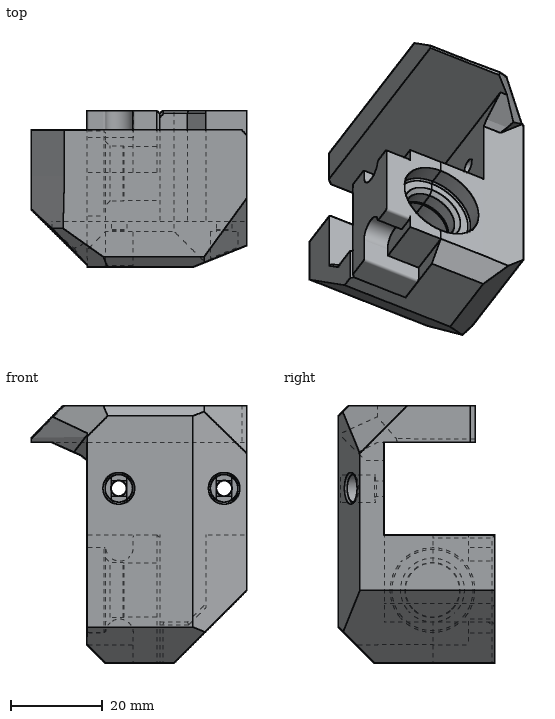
import cadquery as cq
import math

width = 35.0
depth = 34.2
height = 56.25

plate_depth = 10.0
shelf_back = 30.0
shelf_bottom = 48.2
shelf_corner_chamfer = 1.1

block_top = 28.0
split_y = 20.7
clamp_width = 16.0
edge_break = 0.6
flank_lean = 0.1

wing_root_x = 0.55
wing_tip_x = -12.1
wing_tip_top = 49.0
wing_top_x = -4.85
wing_twist_y = 20.0
wing_lean = 0.5
gusset_outer_x = -7.6
gusset_knee = (-1.3, 45.4)
gusset_foot_z = 44.4

wing_upper_root = (0, 0.7, 50.5)
wing_lower_root = (0, 0.5, 49.75)
wing_ridge = (-7.3, 8.25, 53.85)
wing_tip = (wing_tip_x, 12.6, 49.2)
wing_knee = (-2.7, 4.05, 46.2)

top_chamfer = 2.25
bottom_chamfer = 7.9
left_bottom_chamfer = 4.1
left_corner_z = 49.5
side_bevel_x = 23.25
side_bevel_depth = 4.7
right_bottom_chamfer = 15.9
right_corner_x = 25.65
right_corner_y = 15.1
right_corner_z = 45.85

cavity_right = 26.05
cavity_floor = 9.05
cavity_slope = 4.05
wall_edge_radius = 0.4

bore_y = 20.55
bore_z = 16.05
bore_recess_diameter = 18.5
bore_recess_depth = 4.1
bore_recess_taper = 0.4
bore_diameter = 12.05
bore_chamfer = 0.95
throat_diameter = 11.8
throat_start = 7.9
throat_taper = 0.3

screw_x = (7.05, 30.05)
screw_z = 38.2
screw_diameter = 3.4
screw_head_diameter = 6.0
screw_head_depth = 7.9
screw_rim_chamfer = 0.45
bridge_step = 0.2

clamp_bottom = 4.05
notch_y = 28.35
notch_x = 7.15
notch_diameter = 6.0
notch_wall_x = 10.05
lip_drop = 2.65

margin = 0.55


def box(x0, x1, y0, y1, z0, z1):
    return cq.Workplane("XY").box(x1 - x0, y1 - y0, z1 - z0, centered=False).translate((x0, y0, z0))


def trim(body, point, outward):
    """Remove everything beyond the plane through point with the given outward normal."""
    reach = 4 * height
    plane = cq.Plane(origin=point, normal=outward)
    return body.cut(cq.Workplane(plane).rect(reach, reach).extrude(reach))


def trim_through(body, a, b, c):
    """Remove everything beyond the plane a, b, c, seen counter-clockwise from outside."""
    a, b, c = cq.Vector(*a), cq.Vector(*b), cq.Vector(*c)
    return trim(body, a.toTuple(), (b - a).cross(c - a).toTuple())


def bore_cutter():
    recess = bore_recess_diameter / 2
    radius = bore_diameter / 2
    profile = [
        (0, 0),
        (0, recess),
        (bore_recess_depth - bore_recess_taper, recess),
        (bore_recess_depth, recess - bore_recess_taper),
        (bore_recess_depth, radius + bore_chamfer),
        (bore_recess_depth + bore_chamfer, radius),
        (throat_start, radius),
        (throat_start + throat_taper, throat_diameter / 2),
        (clamp_width, throat_diameter / 2),
        (clamp_width, 0),
    ]
    cutter = cq.Workplane("XY").polyline(profile).close().revolve(360, (0, 0, 0), (1, 0, 0))
    return cutter.translate((0, bore_y, bore_z))


def wing_section(y, lean):
    """Wing outline at y, with its sloping flank moved outward by lean."""
    points = [
        (wing_root_x, shelf_bottom),
        (wing_tip_x, shelf_bottom),
        (wing_tip_x, wing_tip_top + lean),
        (wing_top_x - lean, height),
        (wing_root_x, height),
    ]
    return cq.Workplane("XZ", origin=(0, y, 0)).polyline(points).close()


def make_wing():
    straight = wing_section(shelf_back, 0).extrude(shelf_back - wing_twist_y)
    sections = [wing_section(0, wing_lean), wing_section(wing_twist_y, 0)]
    leaning = cq.Solid.makeLoft([section.wire().val() for section in sections], True)
    gusset_outline = [
        (wing_root_x, shelf_bottom),
        (gusset_outer_x, shelf_bottom),
        gusset_knee,
        (0, gusset_foot_z),
        (wing_root_x, gusset_foot_z),
    ]
    gusset = cq.Workplane("XZ").polyline(gusset_outline).close().extrude(-plate_depth)
    wing = straight.union(cq.Workplane(leaning)).union(gusset)
    wing = trim_through(wing, wing_upper_root, wing_ridge, wing_tip)
    wing = trim_through(wing, wing_lower_root, wing_tip, wing_knee)
    return trim(wing, wing_lower_root, (0, -1, -1))


def bevel_shell(body):
    """Cut the flat bevels and corner facets of the outer shell."""
    body = trim(body, (0, top_chamfer, height), (0, -1, 1))
    body = trim(body, (0, bottom_chamfer, 0), (0, -1, -1))
    body = trim(body, (left_bottom_chamfer, 0, 0), (-1, 0, -1))
    body = trim(body, (flank_lean, 0, left_corner_z), (-1, -math.sqrt(2), 1))
    body = trim(body, (width, 0, right_bottom_chamfer), (1, 0, -1))
    body = trim(body, (side_bevel_x, 0, 0), (side_bevel_depth, side_bevel_x - width, 0))
    front_corner = (right_corner_x, top_chamfer, height)
    lower_corner = (width, side_bevel_depth, right_corner_z)
    rear_corner = (width, right_corner_y, height)
    return trim_through(body, front_corner, lower_corner, rear_corner)


def screw_cutter(x):
    """Screw hole with a head recess that narrows to the hole in two bridging steps."""
    plane = cq.Workplane("XZ", origin=(x, 0, screw_z))
    slot_depth = screw_head_depth + bridge_step
    head = plane.circle(screw_head_diameter / 2).extrude(-screw_head_depth)
    slot = plane.circle(screw_head_diameter / 2).extrude(-slot_depth)
    slot = slot.intersect(plane.rect(screw_diameter, screw_head_diameter).extrude(-slot_depth))
    square = plane.rect(screw_diameter, screw_diameter).extrude(-slot_depth - bridge_step)
    hole = plane.circle(screw_diameter / 2).extrude(-plate_depth)
    return head.union(slot).union(square).union(hole)


def make_plate():
    corners = [(flank_lean, 0), (width, 0), (width, plate_depth), (0, plate_depth)]
    return cq.Workplane("XY").polyline(corners).close().extrude(height)


def make_shelf():
    shelf = box(flank_lean, width, 0, shelf_back, shelf_bottom, height)
    return shelf.edges("|Z and >X and >Y").chamfer(shelf_corner_chamfer)


def make_cavity_block():
    """Block behind the plate, right of the clamp, with the open cavity and its sloping floor."""
    block = (
        cq.Workplane("XZ", origin=(0, plate_depth, 0))
        .moveTo(clamp_width, 0)
        .lineTo(width, 0)
        .lineTo(width, block_top)
        .lineTo(cavity_right, block_top)
        .lineTo(cavity_right, cavity_floor + cavity_slope)
        .lineTo(cavity_right - cavity_slope, cavity_floor)
        .lineTo(clamp_width, cavity_floor)
        .close()
        .extrude(plate_depth - depth)
    )
    block = block.edges("|Z and >Y and <X").chamfer(edge_break)
    block = block.edges(">Y and >Z").fillet(wall_edge_radius)
    floor_zone = cq.selectors.BoxSelector(
        (clamp_width, depth - edge_break / 2, cavity_floor - edge_break),
        (cavity_right - edge_break, depth + edge_break, block_top),
    )
    return block.edges(floor_zone).chamfer(edge_break)


def make_housing():
    left_block = box(0, clamp_width, plate_depth, split_y, 0, block_top)
    body = make_plate()
    for piece in (make_shelf(), left_block, make_cavity_block(), make_wing()):
        body = body.union(piece)
    body = bevel_shell(body).cut(bore_cutter())
    for x in screw_x:
        body = body.cut(screw_cutter(x))
    rim_zone = cq.selectors.BoxSelector(
        (0, -margin, screw_z - screw_head_diameter / 2),
        (width, side_bevel_depth, screw_z + screw_head_diameter / 2),
    )
    return body.edges(rim_zone).edges("not |Y").chamfer(screw_rim_chamfer)


def notch_cutter(centre_z, open_end_z):
    """Round notch along Y, open towards open_end_z, with a lip on its left side."""
    low, high = sorted((centre_z, open_end_z))
    bore = cq.Workplane("XZ", origin=(notch_x, notch_y, centre_z)).circle(notch_diameter / 2)
    return bore.extrude(notch_y - depth).union(box(0, notch_wall_x, notch_y, depth, low, high))


def make_clamp():
    lip_top = block_top - lip_drop
    lip_bottom = 2 * bore_z - lip_top
    body = box(0, clamp_width, split_y, depth, 0, block_top)
    body = body.cut(box(0, notch_wall_x, split_y, notch_y, 0, clamp_bottom))
    body = body.cut(notch_cutter(lip_top, block_top)).cut(notch_cutter(lip_bottom, 0))
    lip_zone = cq.selectors.BoxSelector(
        (-margin, notch_y, lip_bottom - margin), (notch_x, depth, lip_top + margin))
    body = body.edges("|Y").edges(lip_zone).fillet(edge_break)
    wall_zone = cq.selectors.BoxSelector(
        (notch_wall_x - margin, split_y, -margin), (notch_wall_x + margin, depth, block_top + margin))
    body = body.edges("|Y and (>Z or <Z)").edges(wall_zone).fillet(edge_break)
    body = body.edges("|Y and >X and >Z").chamfer(edge_break)
    body = body.edges("|Z and >X and >Y").chamfer(edge_break)
    return body.cut(bore_cutter())


housing = make_housing()
clamp = make_clamp()
result = cq.Compound.makeCompound([housing.val(), clamp.val()])